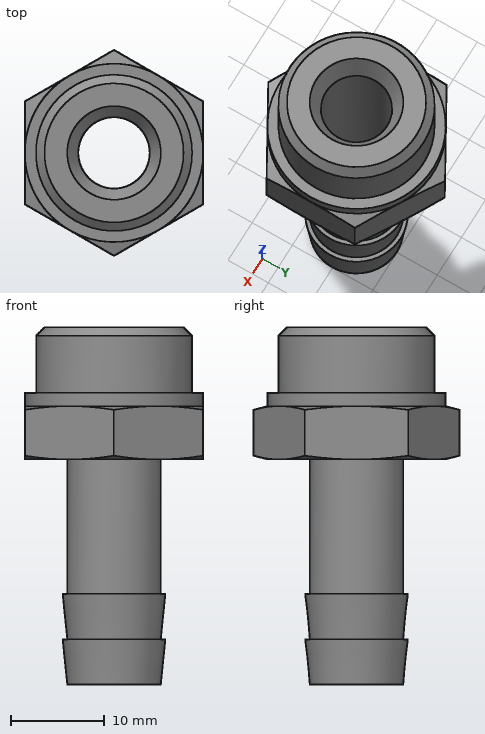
import cadquery as cq
import math

total_height = 38.1
hex_bottom = 24.0
hex_top = 29.68
collar_top = 31.1
barb_height = 4.85
barb_count = 2

tube_diameter = 10.0
barb_diameter = 10.97
hex_across_flats = 19.0
collar_diameter = hex_across_flats
head_diameter = 16.65
bore_diameter = 7.6
countersink_diameter = tube_diameter

head_chamfer = 0.9
hex_chamfer_angle = 15.0
envelope_clearance = 0.4
countersink_depth = 2.05


def cylinder(diameter, bottom, top):
    return cq.Workplane("XY").workplane(offset=bottom).circle(diameter / 2).extrude(top - bottom)


def cone(bottom_diameter, top_diameter, bottom, top):
    profile = [
        (0, bottom),
        (bottom_diameter / 2, bottom),
        (top_diameter / 2, top),
        (0, top),
    ]
    return cq.Workplane("XZ").polyline(profile).close().revolve(360, (0, 0, 0), (0, 1, 0))


def hexagon_nut():
    """Hexagon with corners on the Y axis, conically chamfered at both ends."""
    across_corners = hex_across_flats / math.cos(math.radians(30))
    prism = (
        cq.Workplane("XY")
        .workplane(offset=hex_bottom)
        .transformed(rotate=(0, 0, 90))
        .polygon(6, across_corners)
        .extrude(hex_top - hex_bottom)
    )
    flat_radius = hex_across_flats / 2
    envelope_radius = across_corners / 2 + envelope_clearance
    drop = (envelope_radius - flat_radius) * math.tan(math.radians(hex_chamfer_angle))
    envelope = (
        cone(2 * flat_radius, 2 * envelope_radius, hex_bottom, hex_bottom + drop)
        .union(cylinder(2 * envelope_radius, hex_bottom + drop, hex_top - drop))
        .union(cone(2 * envelope_radius, 2 * flat_radius, hex_top - drop, hex_top))
    )
    return prism.intersect(envelope)


body = cylinder(tube_diameter, 0, hex_bottom)
for index in range(barb_count):
    barb_bottom = index * barb_height
    body = body.union(cone(tube_diameter, barb_diameter, barb_bottom, barb_bottom + barb_height))

head = cylinder(head_diameter, collar_top, total_height).faces(">Z").chamfer(head_chamfer)
body = body.union(hexagon_nut())
body = body.union(cylinder(collar_diameter, hex_top, collar_top))
body = body.union(head)

body = body.cut(cylinder(bore_diameter, 0, total_height))
countersink = cone(bore_diameter, countersink_diameter, total_height - countersink_depth, total_height)
result = body.cut(countersink)